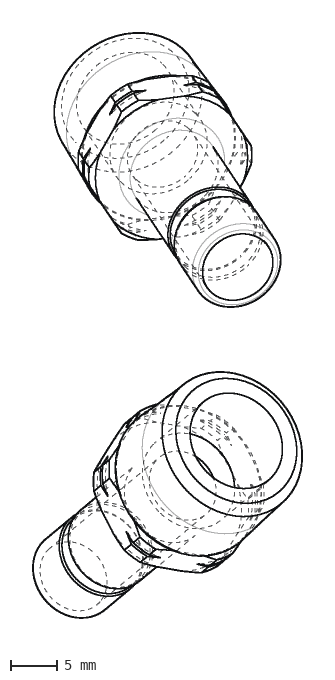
import cadquery as cq

total_length = 42.5
tube_radius = 5.0
bore_radius = 4.0

thread_length = 12.5
thread_nose_radius = 7.22
thread_start_radius = 8.37
thread_gauge_radius = 8.5
thread_end_radius = 8.735
thread_chamfer_length = 1.05
thread_gauge_x = 6.05

hex_length = 5.0
hex_across_flats = 17.0
hex_corner_radius = 9.245
hex_face_radius = 8.63
hex_front_chamfer_length = 0.5
hex_rear_chamfer_length = 0.42
hex_groove_width = 0.5
hex_groove_depth = 0.45

root_fillet_radius = 0.98
tube_groove_start = 32.85
tube_groove_width = 2.4
tube_groove_depth = 0.2
tube_groove_front_flank = 0.13
tube_groove_rear_flank = 0.25
tube_end_fillet = 0.5

entry_radius = 5.52
entry_depth = thread_length

hex_end = thread_length + hex_length


def revolve_profile(profile):
    """Turn a closed XY profile about the X axis."""
    return profile.close().revolve(360, (0, 0, 0), (1, 0, 0))


def make_thread():
    return revolve_profile(
        cq.Workplane("XY")
        .moveTo(0, 0)
        .lineTo(0, thread_nose_radius)
        .lineTo(thread_chamfer_length, thread_start_radius)
        .lineTo(thread_gauge_x, thread_gauge_radius)
        .lineTo(thread_length, thread_end_radius)
        .lineTo(thread_length, 0)
    )


def make_hexagon():
    """Intersect a hexagonal prism, corners on Y, with a turned blank."""
    corner_turn = 90
    groove_x = thread_length + hex_length / 2
    turned = revolve_profile(
        cq.Workplane("XY")
        .moveTo(thread_length, 0)
        .lineTo(thread_length, hex_face_radius)
        .lineTo(thread_length + hex_front_chamfer_length, hex_corner_radius)
        .lineTo(groove_x - hex_groove_width / 2, hex_corner_radius)
        .lineTo(groove_x, hex_corner_radius - hex_groove_depth)
        .lineTo(groove_x + hex_groove_width / 2, hex_corner_radius)
        .lineTo(hex_end - hex_rear_chamfer_length, hex_corner_radius)
        .lineTo(hex_end, hex_face_radius)
        .lineTo(hex_end, 0)
    )
    prism = (
        cq.Workplane("YZ")
        .workplane(offset=thread_length)
        .polygon(6, hex_across_flats, circumscribed=True)
        .extrude(hex_length)
        .rotate((0, 0, 0), (1, 0, 0), corner_turn)
    )
    return turned.intersect(prism)


def make_tube():
    groove_end = tube_groove_start + tube_groove_width
    groove_radius = tube_radius - tube_groove_depth
    return revolve_profile(
        cq.Workplane("XY")
        .moveTo(hex_end, 0)
        .lineTo(hex_end, tube_radius + root_fillet_radius)
        .radiusArc((hex_end + root_fillet_radius, tube_radius), -root_fillet_radius)
        .lineTo(tube_groove_start, tube_radius)
        .lineTo(tube_groove_start + tube_groove_front_flank, groove_radius)
        .lineTo(groove_end - tube_groove_rear_flank, groove_radius)
        .lineTo(groove_end, tube_radius)
        .lineTo(total_length - tube_end_fillet, tube_radius)
        .radiusArc((total_length, tube_radius - tube_end_fillet), tube_end_fillet)
        .lineTo(total_length, 0)
    )


def make_bore():
    cone_length = entry_radius - bore_radius
    return revolve_profile(
        cq.Workplane("XY")
        .moveTo(0, 0)
        .lineTo(0, entry_radius)
        .lineTo(entry_depth, entry_radius)
        .lineTo(entry_depth + cone_length, bore_radius)
        .lineTo(total_length, bore_radius)
        .lineTo(total_length, 0)
    )


result = make_thread().union(make_hexagon()).union(make_tube()).cut(make_bore())